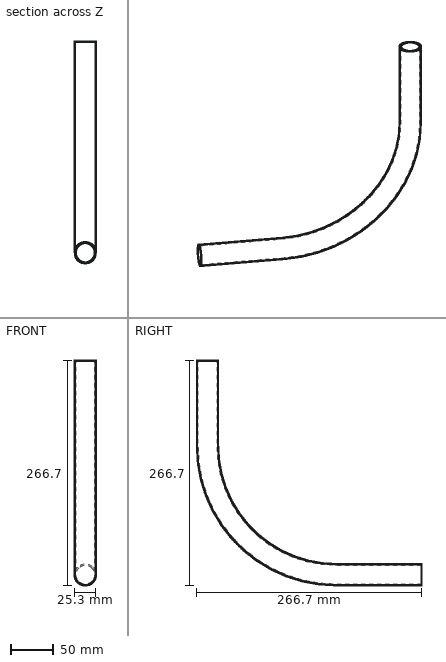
import cadquery as cq
import math

overall_length = 266.7
outer_diameter = 25.3
inner_diameter = 22.1
straight_length = 101.5

centreline_span = overall_length - outer_diameter / 2
bend_radius = centreline_span - straight_length
bend_midpoint_offset = bend_radius * (1 - math.cos(math.radians(45)))


def make_centreline():
    """Down the vertical leg, round the quarter bend, then out along +Y."""
    return (
        cq.Workplane("YZ")
        .moveTo(0, centreline_span)
        .lineTo(0, bend_radius)
        .threePointArc((bend_midpoint_offset, bend_midpoint_offset), (bend_radius, 0))
        .lineTo(centreline_span, 0)
    )


def make_tube():
    """Sweep the ring section from the open top end along the centreline."""
    ring = (
        cq.Workplane("XY", origin=(0, 0, centreline_span))
        .circle(outer_diameter / 2)
        .circle(inner_diameter / 2)
    )
    return ring.sweep(make_centreline())


result = make_tube()